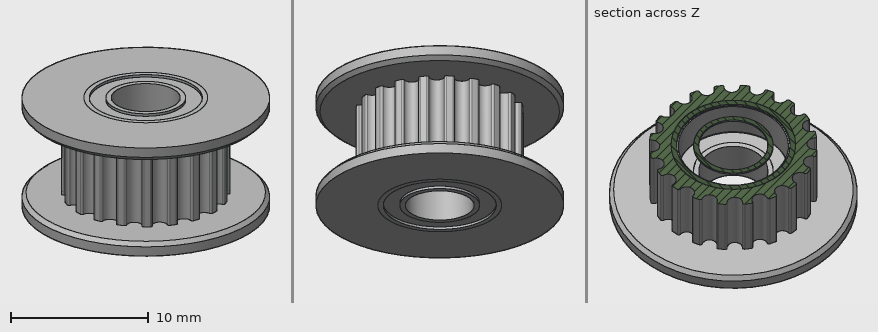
import cadquery as cq
import math

flange_diameter = 18.0
total_height = 8.6
drum_height = 6.5
flange_chamfer = 0.3

tooth_count = 20
drum_diameter = 12.22
groove_radius = 0.55
lip_radius = 0.15

bearing_outer_diameter = 9.0
bearing_bore_diameter = 5.0
bearing_width = 3.0
shield_outer_diameter = 8.2
shield_inner_diameter = 5.8
shield_depth = 0.2

shoulder_diameter = 8.0

flange_thickness = (total_height - drum_height) / 2
bearing_offset = (total_height - bearing_width) / 2


def cylinder(diameter, height):
    """Cylinder on the Z axis, centred on the origin."""
    return cq.Workplane("XY").cylinder(height, diameter / 2)


def make_groove():
    """Cutter for one belt groove at +X: a round bottom with rounded lips at the tooth tips."""
    drum_radius = drum_diameter / 2
    lip_center_y = groove_radius + lip_radius
    lip_center_distance = drum_radius - lip_radius
    lip_angle = math.asin(lip_center_y / lip_center_distance)
    groove_center_x = lip_center_distance * math.cos(lip_angle)
    tip_x = drum_radius * math.cos(lip_angle)
    tip_y = drum_radius * math.sin(lip_angle)
    middle_angle = (lip_angle - math.pi / 2) / 2
    middle_x = groove_center_x + lip_radius * math.cos(middle_angle)
    middle_y = lip_center_y + lip_radius * math.sin(middle_angle)
    return (
        cq.Workplane("XY", origin=(0, 0, -drum_height / 2))
        .moveTo(tip_x, tip_y)
        .threePointArc((middle_x, middle_y), (groove_center_x, groove_radius))
        .threePointArc((groove_center_x - groove_radius, 0), (groove_center_x, -groove_radius))
        .threePointArc((middle_x, -middle_y), (tip_x, -tip_y))
        .lineTo(drum_radius + lip_radius, -tip_y)
        .lineTo(drum_radius + lip_radius, tip_y)
        .close()
        .extrude(drum_height)
    )


def make_flange(side):
    """Flange at the top (side = 1) or bottom (side = -1), chamfered on the edge facing the drum."""
    inner_edge = "<Z" if side > 0 else ">Z"
    flange = cylinder(flange_diameter, flange_thickness).edges(inner_edge).chamfer(flange_chamfer)
    return flange.translate((0, 0, side * (drum_height + flange_thickness) / 2))


def make_pulley():
    """Toothed drum with both flanges, a shoulder bore and a bearing seat at each end."""
    pulley = cylinder(drum_diameter, drum_height)
    groove = make_groove()
    for index in range(tooth_count):
        pulley = pulley.cut(groove.rotate((0, 0, 0), (0, 0, 1), index * 360 / tooth_count))
    pulley = pulley.cut(cylinder(shoulder_diameter, total_height))
    for side in (1, -1):
        seat = cylinder(bearing_outer_diameter, bearing_width).translate((0, 0, side * bearing_offset))
        pulley = pulley.union(make_flange(side)).cut(seat)
    return pulley


def make_bearing(side):
    """Bearing at the top (side = 1) or bottom (side = -1), with a sunken shield on both faces."""
    bearing = cylinder(bearing_outer_diameter, bearing_width)
    shield_recess = cylinder(shield_outer_diameter, shield_depth).cut(
        cylinder(shield_inner_diameter, shield_depth)
    )
    recess_offset = (bearing_width - shield_depth) / 2
    for face in (1, -1):
        bearing = bearing.cut(shield_recess.translate((0, 0, face * recess_offset)))
    bearing = bearing.cut(cylinder(bearing_bore_diameter, bearing_width))
    return bearing.translate((0, 0, side * bearing_offset))


pulley = make_pulley()
bearings = [make_bearing(side) for side in (1, -1)]

result = cq.Compound.makeCompound(
    [pulley.solids().val(), *[bearing.solids().val() for bearing in bearings]]
)